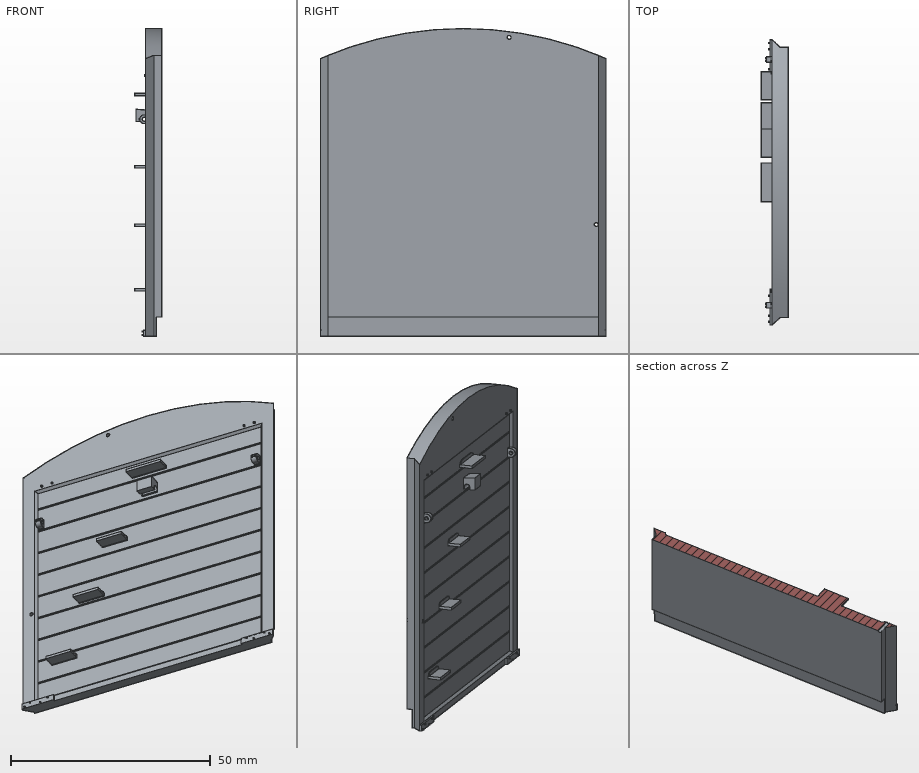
import cadquery as cq

HEIGHT = 77.0
WIDTH = 71.45
THICKNESS = 4.1
EAVES_HEIGHT = 69.45
BEVEL_DEPTH = 2.1
BEVEL_INSET = 1.9
LIP_THICKNESS = 2.7
LIP_HEIGHT = 4.8
HALF_WIDTH = WIDTH / 2

FIELD_HALF_WIDTH = 32.35
FIELD_BOTTOM = 1.55
FIELD_TOP = 64.5
FIELD_DEPTH = 0.6
BOARD_HALF_WIDTH = FIELD_HALF_WIDTH - FIELD_DEPTH
BOARD_PITCH = 6.5
FIRST_GROOVE_Z = 7.2
GROOVE_COUNT = 9
GROOVE_WIDTH = 0.27
GROOVE_DEPTH = 0.2

STEP_REACH = 2.7
SHELF_THICKNESS = 0.7
SHELF_OFFSET = 0.1
PLATE_HEIGHT = 1.7
PLATE_THICKNESS = 0.2
CORNER_HEIGHT = PLATE_HEIGHT - SHELF_THICKNESS
LONG_STEP = 9.8
LONG_STEP_CORNER = 2.0
SHORT_STEP = 7.1
SHORT_STEP_CORNER = CORNER_HEIGHT
STEPS = [
    (0.0, LONG_STEP, LONG_STEP_CORNER, 60.05),
    (9.8, SHORT_STEP, SHORT_STEP_CORNER, 42.0),
    (16.4, SHORT_STEP, SHORT_STEP_CORNER, 27.3),
    (24.2, SHORT_STEP, SHORT_STEP_CORNER, 11.25),
]

PIVOT_X = -0.3
PIVOT_Z = 54.3
PIVOT_HOLE_DIAMETER = 0.9
LUG_DIAMETER = 2.2
LUG_WIDTH = 1.5
LUG_CENTER_Y = 30.7
LUG_PIN_REACH = 0.15
LUG_PIN_SPACING = 0.7
CATCH_REACH = 2.4
CATCH_WIDTH = 4.2
CATCH_CENTER_Y = -0.15
CATCH_BOTTOM = 53.7
CATCH_TOP = 56.8
CATCH_TOP_DROP = 0.2
CATCH_BORE_DIAMETER = 1.5

STRAP_LENGTH = 9.0
STRAP_HEIGHT = FIELD_BOTTOM
STRAP_THICKNESS = 0.55
RIVET_HEIGHT = 0.27
SMALL_RIVET_DIAMETER = 0.34
STRAP_RIVETS = [(34.9, 0.35), (33.35, 1.19), (30.4, 0.35), (28.3, 1.19)]
TOP_RIVET_DIAMETER = 0.5
TOP_RIVETS = [(30.25, 65.3), (27.3, 65.3)]
THROUGH_HOLE_DIAMETER = 0.9
THROUGH_HOLES = [(11.5, 74.8), (33.3, 27.95)]


def box(x_min, x_max, y_min, y_max, z_min, z_max):
    size = (x_max - x_min, y_max - y_min, z_max - z_min)
    return cq.Workplane("XY").box(*size, centered=False).translate((x_min, y_min, z_min))


def rod_x(diameter, x_min, x_max, y, z):
    plane = cq.Workplane("YZ", origin=(x_min, y, z))
    return plane.circle(diameter / 2).extrude(x_max - x_min)


def rod_y(diameter, center_y, length):
    plane = cq.Workplane("XZ", origin=(PIVOT_X, center_y, PIVOT_Z))
    return plane.circle(diameter / 2).extrude(length / 2, both=True)


def door_leaf():
    arch = (
        cq.Workplane("YZ")
        .moveTo(-HALF_WIDTH, 0)
        .lineTo(HALF_WIDTH, 0)
        .lineTo(HALF_WIDTH, EAVES_HEIGHT)
        .threePointArc((0, HEIGHT), (-HALF_WIDTH, EAVES_HEIGHT))
        .close()
        .extrude(THICKNESS)
    )
    inner_half = HALF_WIDTH - BEVEL_INSET
    plan = (
        cq.Workplane("XY")
        .moveTo(0, -HALF_WIDTH)
        .lineTo(BEVEL_DEPTH, -inner_half)
        .lineTo(THICKNESS, -inner_half)
        .lineTo(THICKNESS, inner_half)
        .lineTo(BEVEL_DEPTH, inner_half)
        .lineTo(0, HALF_WIDTH)
        .close()
        .extrude(HEIGHT)
    )
    rebate = box(LIP_THICKNESS, THICKNESS, -HALF_WIDTH, HALF_WIDTH, 0, LIP_HEIGHT)
    return arch.intersect(plan).cut(rebate)


def sunken_field():
    height = FIELD_TOP - FIELD_BOTTOM
    return (
        cq.Workplane("YZ", origin=(0, 0, FIELD_BOTTOM + height / 2))
        .rect(2 * FIELD_HALF_WIDTH, height)
        .workplane(offset=FIELD_DEPTH)
        .rect(2 * BOARD_HALF_WIDTH, height - 2 * FIELD_DEPTH)
        .loft(ruled=True)
    )


def board_groove(z):
    return box(
        FIELD_DEPTH, FIELD_DEPTH + GROOVE_DEPTH,
        -BOARD_HALF_WIDTH, BOARD_HALF_WIDTH,
        z - GROOVE_WIDTH / 2, z + GROOVE_WIDTH / 2,
    )


def step(center_y, width, corner_width, plate_bottom):
    y_min = center_y - width / 2
    y_max = center_y + width / 2
    plate_top = plate_bottom + PLATE_HEIGHT
    shelf_bottom = plate_bottom + SHELF_OFFSET
    corner_start = plate_top - CORNER_HEIGHT
    corner_radius = (corner_width**2 + CORNER_HEIGHT**2) / (2 * CORNER_HEIGHT)
    plate = (
        cq.Workplane("YZ", origin=(FIELD_DEPTH - PLATE_THICKNESS, 0, 0))
        .moveTo(y_min, plate_bottom)
        .lineTo(y_max, plate_bottom)
        .lineTo(y_max, corner_start)
        .radiusArc((y_max - corner_width, plate_top), -corner_radius)
        .lineTo(y_min + corner_width, plate_top)
        .radiusArc((y_min, corner_start), -corner_radius)
        .close()
        .extrude(PLATE_THICKNESS)
    )
    shelf = box(-STEP_REACH, FIELD_DEPTH, y_min, y_max, shelf_bottom, shelf_bottom + SHELF_THICKNESS)
    return plate.union(shelf)


def pivot_lug(center_y):
    disc = rod_y(LUG_DIAMETER, center_y, LUG_WIDTH)
    root = box(
        PIVOT_X, FIELD_DEPTH,
        center_y - LUG_WIDTH / 2, center_y + LUG_WIDTH / 2,
        PIVOT_Z - LUG_DIAMETER / 2, PIVOT_Z + LUG_DIAMETER / 2,
    )
    lug = disc.union(root)
    tip_x = PIVOT_X - LUG_DIAMETER / 2
    for offset in (-LUG_PIN_SPACING / 2, LUG_PIN_SPACING / 2):
        pin = rod_x(SMALL_RIVET_DIAMETER, tip_x - LUG_PIN_REACH, PIVOT_X, center_y + offset, PIVOT_Z)
        lug = lug.union(pin)
    return lug.cut(rod_y(PIVOT_HOLE_DIAMETER, center_y, LUG_WIDTH))


def catch_block():
    block = (
        cq.Workplane("XZ", origin=(0, CATCH_CENTER_Y, 0))
        .moveTo(-CATCH_REACH, CATCH_BOTTOM)
        .lineTo(FIELD_DEPTH, CATCH_BOTTOM)
        .lineTo(FIELD_DEPTH, CATCH_TOP - CATCH_TOP_DROP)
        .lineTo(-CATCH_REACH, CATCH_TOP)
        .close()
        .extrude(CATCH_WIDTH / 2, both=True)
    )
    return block.cut(rod_y(CATCH_BORE_DIAMETER, CATCH_CENTER_Y, CATCH_WIDTH))


def corner_strap():
    strap = box(-STRAP_THICKNESS, 0, HALF_WIDTH - STRAP_LENGTH, HALF_WIDTH, 0, STRAP_HEIGHT)
    for y, z in STRAP_RIVETS:
        rivet = rod_x(SMALL_RIVET_DIAMETER, -STRAP_THICKNESS - RIVET_HEIGHT, 0, y, z)
        strap = strap.union(rivet)
    return strap


result = door_leaf().cut(sunken_field())

for index in range(GROOVE_COUNT):
    result = result.cut(board_groove(FIRST_GROOVE_Z + index * BOARD_PITCH))

for step_sizes in STEPS:
    result = result.union(step(*step_sizes))

for side in (-1, 1):
    result = result.union(pivot_lug(side * LUG_CENTER_Y))
result = result.union(catch_block())

left_strap = corner_strap()
result = result.union(left_strap).union(left_strap.mirror("XZ"))

for y, z in TOP_RIVETS:
    for side in (-1, 1):
        result = result.union(rod_x(TOP_RIVET_DIAMETER, -RIVET_HEIGHT, THICKNESS / 2, side * y, z))

for y, z in THROUGH_HOLES:
    result = result.cut(rod_x(THROUGH_HOLE_DIAMETER, 0, THICKNESS, y, z))